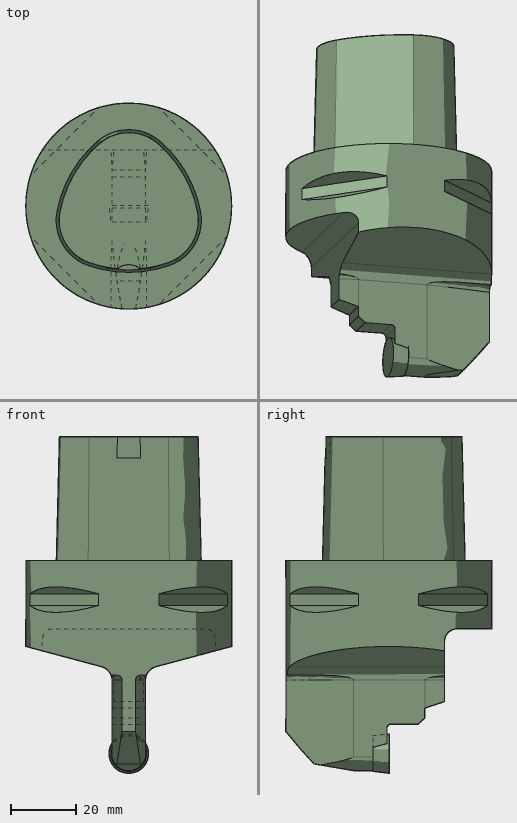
import cadquery as cq
import math


SHANK_LENGTH = 37.8
SHANK_TAPER = 1 / 40
LOBE_REACH = 23.4
FLAT_REACH = 20.3
LOBE_RADIUS = 14.6
NOTCH_RADIUS = 5.4
NOTCH_DEPTH = 6.5
NOTCH_APEX_Y = -17.9

FLANGE_RADIUS = 31.5
TOTAL_DEPTH = 103 - SHANK_LENGTH
GROOVE_TOP_Z = -10.3
GROOVE_BOTTOM_Z = -13.8
GROOVE_FLOOR_DISTANCE = 27.8
GROOVE_FLANK_ANGLE = 30
GROOVE_CUT_LENGTH = 61.8

SLOPE_START_Z = -26.4
SLOPE_ANGLE = 15
ROOT_RADIUS = 4.2

BLADE_HALF_THICKNESS = 5.2
TIP_RADIUS = 5.3
BLADE_FRONT_Y = 17.1
STEP_Z = -21.0
STEP_RADIUS = 3.8
NOSE_BOTTOM_Z = -43.3
SHOULDER_Y = 11.07
SHOULDER_TOP_Z = -45.2
SHOULDER_CHAMFER_Z = -48.3
SHOULDER_BOTTOM_Z = -50.2
SHOULDER_CHAMFER_Y = 9.0
SEAT_Y = -0.5
SEAT_CORNER_RADIUS = 1.2
HEEL_TOP_Z = -52.3
HEEL_MIDDLE = (-28.1, -56.4)
HEEL_BOTTOM = (-22.9, -62.3)
RELIEF_START_Y = -10.7

RELIEF_CENTRE_Y = 0.2
RELIEF_CEILING_Z = -35.1
RELIEF_CORNER_RADIUS = 1.5
RELIEF_MIDDLE = (3.6, HEEL_BOTTOM[0])
RELIEF_END = (2.1, -FLANGE_RADIUS)
RELIEF_OUTER_X = 12.4

INSERT_RADIUS = 6.1
INSERT_FACE_Y = 0.2
INSERT_THICKNESS = 5.0
INSERT_CLEARANCE_ANGLE = 7
INSERT_Z = -TOTAL_DEPTH + INSERT_RADIUS
BLADE_BOTTOM_Z = INSERT_Z - TIP_RADIUS


def polar(radius, angle):
    return (radius * math.cos(math.radians(angle)), radius * math.sin(math.radians(angle)))


def shank_profile(z):
    """Closed wire of three lobe arcs and three flatter arcs, all tangent."""
    inset = z * SHANK_TAPER
    lobe_reach = LOBE_REACH - inset
    flat_reach = FLAT_REACH - inset
    lobe_radius = LOBE_RADIUS - inset
    lobe_offset = lobe_reach - lobe_radius
    gap = flat_reach - lobe_radius
    flat_offset = (lobe_offset**2 - gap**2) / (2 * gap - lobe_offset)
    flat_radius = flat_reach + flat_offset
    lobe_x, lobe_y = polar(lobe_offset, 60)
    stretch = flat_radius / (flat_radius - lobe_radius)
    joint_x = -flat_offset + (lobe_x + flat_offset) * stretch
    joint_y = lobe_y * stretch
    joint_reach = math.hypot(joint_x, joint_y)
    joint_angle = math.degrees(math.atan2(joint_y, joint_x))

    profile = cq.Workplane("XY", origin=(0, 0, z))
    profile = profile.moveTo(*polar(joint_reach, -90 - joint_angle))
    for flat_angle in (-90, 30, 150):
        next_flat = flat_angle + 120
        profile = profile.threePointArc(
            polar(flat_reach, flat_angle), polar(joint_reach, flat_angle + joint_angle))
        profile = profile.threePointArc(
            polar(lobe_reach, flat_angle + 60), polar(joint_reach, next_flat - joint_angle))
    return profile.close().val()


def make_shank():
    shank = cq.Workplane(cq.Solid.makeLoft([shank_profile(0), shank_profile(SHANK_LENGTH)], True))
    notch = (
        cq.Workplane("XY", origin=(0, NOTCH_APEX_Y - NOTCH_RADIUS, SHANK_LENGTH - NOTCH_DEPTH))
        .circle(NOTCH_RADIUS)
        .extrude(NOTCH_DEPTH)
    )
    return shank.cut(notch)


def front_outline():
    """Underside slopes, root fillets, blade flanks and round tip, swept along Y."""
    slope = math.radians(SLOPE_ANGLE)
    turn = math.radians(90 - SLOPE_ANGLE)
    slope_end_z = SLOPE_START_Z - (FLANGE_RADIUS - BLADE_HALF_THICKNESS) * math.tan(slope)
    root_z = slope_end_z - ROOT_RADIUS * math.tan(turn / 2)
    centre_x = BLADE_HALF_THICKNESS + ROOT_RADIUS

    def root_point(angle):
        return (centre_x - ROOT_RADIUS * math.cos(angle), root_z + ROOT_RADIUS * math.sin(angle))

    tip_z = INSERT_Z - math.sqrt(TIP_RADIUS**2 - BLADE_HALF_THICKNESS**2)
    half = (
        cq.Workplane("XZ", origin=(0, FLANGE_RADIUS, 0))
        .lineTo(FLANGE_RADIUS, 0)
        .lineTo(FLANGE_RADIUS, SLOPE_START_Z)
        .lineTo(*root_point(turn))
        .threePointArc(root_point(turn / 2), root_point(0))
        .lineTo(BLADE_HALF_THICKNESS, tip_z)
        .radiusArc((0, BLADE_BOTTOM_Z), TIP_RADIUS)
        .close()
        .extrude(2 * FLANGE_RADIUS)
    )
    return half.union(half.mirror("YZ"))


def side_outline():
    """Stepped front, insert seat, rising underside and heel, swept along X."""
    return (
        cq.Workplane("YZ", origin=(-FLANGE_RADIUS, 0, 0))
        .moveTo(-FLANGE_RADIUS, 0)
        .lineTo(FLANGE_RADIUS, 0)
        .lineTo(FLANGE_RADIUS, STEP_Z)
        .lineTo(BLADE_FRONT_Y + STEP_RADIUS, STEP_Z)
        .radiusArc((BLADE_FRONT_Y, STEP_Z - STEP_RADIUS), -STEP_RADIUS)
        .lineTo(BLADE_FRONT_Y, NOSE_BOTTOM_Z)
        .lineTo(SHOULDER_Y, SHOULDER_TOP_Z)
        .lineTo(SHOULDER_Y, SHOULDER_CHAMFER_Z)
        .lineTo(SHOULDER_CHAMFER_Y, SHOULDER_BOTTOM_Z)
        .lineTo(SEAT_Y + SEAT_CORNER_RADIUS, SHOULDER_BOTTOM_Z)
        .radiusArc((SEAT_Y, SHOULDER_BOTTOM_Z - SEAT_CORNER_RADIUS), -SEAT_CORNER_RADIUS)
        .lineTo(SEAT_Y, BLADE_BOTTOM_Z)
        .lineTo(RELIEF_START_Y, BLADE_BOTTOM_Z)
        .lineTo(*HEEL_BOTTOM)
        .threePointArc(HEEL_MIDDLE, (-FLANGE_RADIUS, HEEL_TOP_Z))
        .close()
        .extrude(2 * FLANGE_RADIUS)
    )


def side_reliefs():
    """Four curved cutters with a rounded upper corner, one per blade end and flank."""
    cutter = (
        cq.Workplane("XY", origin=(0, 0, RELIEF_CEILING_Z))
        .moveTo(BLADE_HALF_THICKNESS, RELIEF_START_Y)
        .threePointArc(RELIEF_MIDDLE, RELIEF_END)
        .lineTo(RELIEF_OUTER_X, -FLANGE_RADIUS)
        .lineTo(RELIEF_OUTER_X, RELIEF_START_Y)
        .close()
        .extrude(-TOTAL_DEPTH - RELIEF_CEILING_Z)
        .faces(">Z")
        .edges("%CIRCLE")
        .fillet(RELIEF_CORNER_RADIUS)
    )
    rear = cutter.add(cutter.mirror("YZ"))
    front = rear.mirror("XZ", (0, RELIEF_CENTRE_Y, 0))
    return [*rear.vals(), *front.vals()]


def gripper_groove(angle):
    depth = FLANGE_RADIUS - GROOVE_FLOOR_DISTANCE
    flare = depth * math.tan(math.radians(GROOVE_FLANK_ANGLE))
    return (
        cq.Workplane("XZ")
        .moveTo(GROOVE_FLOOR_DISTANCE, GROOVE_TOP_Z)
        .lineTo(FLANGE_RADIUS, GROOVE_TOP_Z + flare)
        .lineTo(FLANGE_RADIUS, GROOVE_BOTTOM_Z - flare)
        .lineTo(GROOVE_FLOOR_DISTANCE, GROOVE_BOTTOM_Z)
        .close()
        .extrude(GROOVE_CUT_LENGTH / 2, both=True)
        .rotate((0, 0, 0), (0, 0, 1), angle)
    )


def make_insert():
    """Round insert: a truncated cone whose large face looks toward +Y."""
    back_radius = INSERT_RADIUS - INSERT_THICKNESS * math.tan(math.radians(INSERT_CLEARANCE_ANGLE))
    return cq.Workplane(cq.Solid.makeCone(
        INSERT_RADIUS, back_radius, INSERT_THICKNESS,
        cq.Vector(0, INSERT_FACE_Y, INSERT_Z), cq.Vector(0, -1, 0)))


def make_holder(insert):
    head = cq.Workplane("XY").circle(FLANGE_RADIUS).extrude(-TOTAL_DEPTH)
    head = head.intersect(front_outline()).intersect(side_outline())
    for relief in side_reliefs():
        head = head.cut(cq.Workplane(relief))
    for angle in (45, 135, 225, 315):
        head = head.cut(gripper_groove(angle))
    return head.union(make_shank()).cut(insert)


insert = make_insert()
holder = make_holder(insert)
result = cq.Compound.makeCompound([holder.solids().val(), insert.val()])